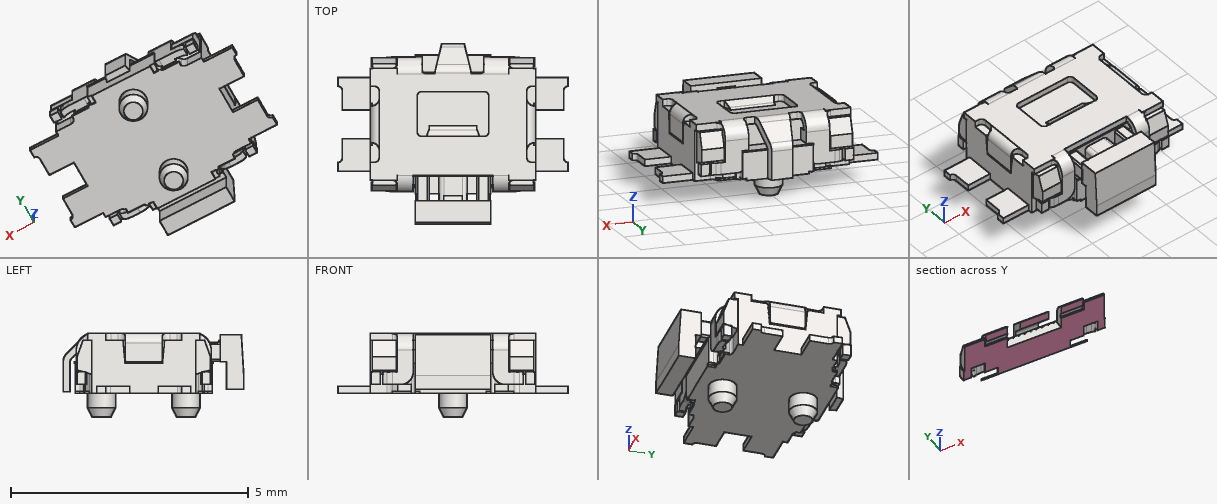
import cadquery as cq
import math

DIAGONAL = math.sqrt(0.5)

HEIGHT = 1.27
SHEET = 0.15
HALF_X = 1.745
CORE_HALF_Y = 1.095
DECK_Z = HEIGHT - SHEET

PEG_RADIUS = 0.30
PEG_TIP_RADIUS = 0.20
PEG_LENGTH = 0.50
PEG_TAPER = 0.20
PEG_Y = 0.89

TERMINAL_END_X = 2.425
TERMINAL_NECK_X = 2.335
TERMINAL_INNER_Y = 0.30
TERMINAL_OUTER_Y = 0.99
TERMINAL_STEP_Y = 0.80
TERMINAL_ROOT_X = 1.60

EAR_HALF_Y = 1.177
COVER_CORNER = 0.10

LEG_BEND_Y = 1.07
LEG_BEND_RADIUS = 0.35
LEG_FACE_Y = LEG_BEND_Y + LEG_BEND_RADIUS
LEG_BACK_Y = LEG_FACE_Y - SHEET
LEG_OUTER_X = 1.18
FRONT_LEG_INNER_X = 0.84
BACK_LEG_INNER_X = 0.65
LEG_FOOT_Z = 0.19
LEG_FOOT_RADIUS = 0.25
HOOK_TOP_Z = 0.45
HOOK_START_X = 1.285
HOOK_KNEE_X = 1.395
HOOK_KNEE_SETBACK = 0.01
HOOK_END_X = 1.48
HOOK_SETBACK = 0.04
LEG_ROOT_RADIUS = 0.10
BACK_OPENING_RADIUS = 0.08

TAB_HALF_Y = 0.39
TAB_BOTTOM_Z = 0.66
TAB_BEND_RADIUS = 0.20
TAB_NOTCH_DEPTH = 0.19
TAB_NOTCH_HALF_Y = 0.80
TAB_ROOT_FLARE = 0.16
TAB_CORNER = 0.04
TAB_POCKET_HALF_Y = 0.395
TAB_POCKET_TOP_HALF_Y = 0.44
TAB_POCKET_BOTTOM_Z = 0.635

WINDOW_HALF_X = 0.755
WINDOW_FRONT_Y = -0.255
WINDOW_BACK_Y = 0.69
WINDOW_CORNER = 0.10
RAMP_KNEE_Y = -0.11
RAMP_END_Y = -0.025
RAMP_KNEE_Z = 1.16
RAMP_BASE_HALF_X = 0.56
RAMP_TIP_HALF_X = 0.505

TONGUE_FACE_Y = 1.70
TONGUE_BOTTOM_Z = 0.03
TONGUE_ROOT_HALF_X = 0.385
TONGUE_TIP_HALF_X = 0.24
TONGUE_ROOT_Y = 1.09
TONGUE_UPPER_RADIUS = 0.255
TONGUE_LOWER_RADIUS = 0.24

BLOCK_INNER_X = 1.20
BLOCK_OUTER_X = 1.70
BLOCK_TOP_Y = 1.28
BLOCK_FACE_Y = 1.405
BLOCK_SLOPE_Z = 0.77
BLOCK_BOTTOM_Z = 0.49
BLOCK_ROOT_Z = 0.40
STUD_INNER_X = 1.53
STUD_OUTER_X = 1.72
STUD_BACK_Y = 1.225

PLINTH_FLAT_X = 1.16
PLINTH_FACE_Y = 1.23
PLINTH_SIDE_X = 1.285
PLINTH_ROOT_X = 1.40
PLINTH_ROOT_Y = 1.145
FOOT_Y = 1.24
FOOT_HEIGHT = 0.045
WALL_HALF_X = 0.80
WALL_FOOT_HALF_X = 0.70
WALL_Y = 1.445
WALL_ROOT_RADIUS = 0.08
WALL_HEIGHT = 0.635
RIM_HEIGHT = 0.025
RIM_Y = 1.465

BUTTON_HALF_X = 0.80
BUTTON_BACK_Y = -1.61
BUTTON_SKIRT_Y = -1.74
BUTTON_TOP_FRONT_Y = -2.06
BUTTON_FRONT_Y = -2.11
BUTTON_TOP_Z = 1.235
BUTTON_STEP_Z = 0.665
BUTTON_SLOPE_END_Z = 0.376
BUTTON_BOTTOM_Z = 0.085
ARM_INNER_X = 0.50
ARM_OUTER_X = 0.78
ARM_TOP_Z = 1.076
ARM_BOTTOM_Z = 0.675
ARM_CHAMFER = 0.04
STEM_HALF_X = 0.30
STEM_ROUND = 0.10
STEM_TOP_Z = 1.03
STEM_GUSSET = 0.10
BUTTON_ROOT_Y = -1.0


def block(x0, x1, y0, y1, z0, z1):
    """Box between opposite corners."""
    return cq.Workplane("XY").box(x1 - x0, y1 - y0, z1 - z0, centered=False).translate((x0, y0, z0))


def prism_along_x(yz_points, x0, x1):
    """Extrude a YZ polygon from x0 to x1."""
    return cq.Workplane("YZ").workplane(offset=x0).polyline(yz_points).close().extrude(x1 - x0)


def prism_along_z(xy_points, z0, z1):
    """Extrude an XY polygon from z0 to z1."""
    return cq.Workplane("XY").workplane(offset=z0).polyline(xy_points).close().extrude(z1 - z0)


def mirrored_x(shape):
    """The shape together with its mirror image across X = 0."""
    return shape.union(shape.mirror("YZ"))


def mirrored_y(shape):
    """The shape together with its mirror image across Y = 0."""
    return shape.union(shape.mirror("XZ"))


def bent_strip(flat_end, bend_start, radius, bottom):
    """Workplane outline of a sheet that runs out flat, then bends down to `bottom`."""
    inner = radius - SHEET
    axis_z = HEIGHT - radius
    return (
        cq.Workplane("YZ")
        .moveTo(flat_end, HEIGHT)
        .lineTo(bend_start, HEIGHT)
        .threePointArc(
            (bend_start + radius * DIAGONAL, axis_z + radius * DIAGONAL), (bend_start + radius, axis_z)
        )
        .lineTo(bend_start + radius, bottom)
        .lineTo(bend_start + inner, bottom)
        .lineTo(bend_start + inner, axis_z)
        .threePointArc((bend_start + inner * DIAGONAL, axis_z + inner * DIAGONAL), (bend_start, DECK_Z))
        .lineTo(flat_end, DECK_Z)
        .close()
    )


def tab_pocket():
    """Tapered recess in the +X housing wall that receives the side tab."""
    outline = [
        (-TAB_POCKET_TOP_HALF_Y, DECK_Z),
        (TAB_POCKET_TOP_HALF_Y, DECK_Z),
        (TAB_POCKET_HALF_Y, TAB_POCKET_BOTTOM_Z),
        (-TAB_POCKET_HALF_Y, TAB_POCKET_BOTTOM_Z),
    ]
    return prism_along_x(outline, HALF_X - SHEET, HALF_X)


def corner_block():
    """Sloped block at the +X +Y corner with the stud below it."""
    profile = [
        (0, DECK_Z),
        (BLOCK_TOP_Y, DECK_Z),
        (BLOCK_FACE_Y, BLOCK_SLOPE_Z),
        (BLOCK_FACE_Y, BLOCK_BOTTOM_Z),
        (CORE_HALF_Y, BLOCK_ROOT_Z),
        (0, BLOCK_ROOT_Z),
    ]
    stud = block(STUD_INNER_X, STUD_OUTER_X, STUD_BACK_Y, BLOCK_FACE_Y, LEG_FOOT_Z, HOOK_TOP_Z)
    return prism_along_x(profile, BLOCK_INNER_X, BLOCK_OUTER_X).union(stud)


def root_fillet(corner_x, corner_y, radius, side, z0, z1):
    """Concave fillet in a plan corner, opening towards +Y and towards `side` along X."""
    chord = radius * (1 - DIAGONAL)
    return (
        cq.Workplane("XY")
        .workplane(offset=z0)
        .moveTo(corner_x, corner_y)
        .lineTo(corner_x + side * radius, corner_y)
        .threePointArc((corner_x + side * chord, corner_y + chord), (corner_x, corner_y + radius))
        .close()
        .extrude(z1 - z0)
    )


def plinth():
    """Lower half of the housing at +Y, its slanted ends sweeping into the core, and a thin foot."""
    sweep_width = PLINTH_ROOT_X - PLINTH_SIDE_X
    sweep_depth = PLINTH_ROOT_Y - CORE_HALF_Y
    sweep_radius = (sweep_width**2 + sweep_depth**2) / (2 * sweep_depth)
    half_angle = math.atan(sweep_depth / sweep_width)
    sweep_middle = (
        PLINTH_ROOT_X - sweep_radius * math.sin(half_angle),
        CORE_HALF_Y + sweep_radius * (1 - math.cos(half_angle)),
    )
    right_half = (
        cq.Workplane("XY")
        .lineTo(PLINTH_ROOT_X, 0)
        .lineTo(PLINTH_ROOT_X, CORE_HALF_Y)
        .threePointArc(sweep_middle, (PLINTH_SIDE_X, PLINTH_ROOT_Y))
        .lineTo(PLINTH_FLAT_X, PLINTH_FACE_Y)
        .lineTo(0, PLINTH_FACE_Y)
        .close()
        .extrude(HOOK_TOP_Z)
    )
    foot = block(0, PLINTH_SIDE_X, 0, FOOT_Y, 0, FOOT_HEIGHT)
    return mirrored_x(right_half.union(foot))


def low_wall():
    """Low wall at +Y with a narrower foot, a thin rim on top and concave fillets at its ends."""
    rim_top_z = WALL_HEIGHT + RIM_HEIGHT
    wall = block(-WALL_HALF_X, WALL_HALF_X, 0, WALL_Y, FOOT_HEIGHT, WALL_HEIGHT)
    foot = block(-WALL_FOOT_HALF_X, WALL_FOOT_HALF_X, 0, WALL_Y, 0, FOOT_HEIGHT)
    rim = block(-WALL_HALF_X, WALL_HALF_X, 0, RIM_Y, WALL_HEIGHT, rim_top_z)
    fillet = root_fillet(WALL_HALF_X, LEG_BACK_Y, WALL_ROOT_RADIUS, 1, 0, WALL_HEIGHT)
    flank = block(0, WALL_HALF_X + WALL_ROOT_RADIUS, 0, LEG_BACK_Y, 0, WALL_HEIGHT)
    return wall.union(foot).union(rim).union(mirrored_x(fillet.union(flank)))


def housing():
    body = block(-HALF_X, HALF_X, -CORE_HALF_Y, CORE_HALF_Y, 0, DECK_Z)
    body = body.cut(mirrored_x(tab_pocket()))
    body = body.union(mirrored_y(mirrored_x(corner_block())))
    shoulder = block(BACK_LEG_INNER_X, BLOCK_INNER_X, 0, LEG_BACK_Y, LEG_FOOT_Z, HEIGHT - LEG_BEND_RADIUS)
    body = body.union(mirrored_y(mirrored_x(shoulder)))
    body = body.union(mirrored_y(plinth()))
    opening = block(-WALL_HALF_X, WALL_HALF_X, -LEG_FACE_Y, -CORE_HALF_Y, WALL_HEIGHT, HEIGHT)
    return body.cut(opening).union(mirrored_y(low_wall()))


def pegs():
    profile = [
        (0, 0),
        (PEG_RADIUS, 0),
        (PEG_RADIUS, PEG_TAPER - PEG_LENGTH),
        (PEG_TIP_RADIUS, -PEG_LENGTH),
        (0, -PEG_LENGTH),
    ]
    peg = cq.Workplane("XZ").polyline(profile).close().revolve(360, (0, 0, 0), (0, 1, 0))
    return mirrored_y(peg.translate((0, PEG_Y, 0)))


def terminals():
    """Four flat terminals, each with a lug on its outer corner."""
    step_radius = TERMINAL_END_X - TERMINAL_NECK_X
    chord = step_radius * (1 - DIAGONAL)
    terminal = (
        cq.Workplane("XY")
        .moveTo(TERMINAL_ROOT_X, TERMINAL_INNER_Y)
        .lineTo(TERMINAL_NECK_X, TERMINAL_INNER_Y)
        .lineTo(TERMINAL_NECK_X, TERMINAL_STEP_Y - step_radius)
        .threePointArc(
            (TERMINAL_NECK_X + chord, TERMINAL_STEP_Y - chord), (TERMINAL_END_X, TERMINAL_STEP_Y)
        )
        .lineTo(TERMINAL_END_X, TERMINAL_OUTER_Y)
        .lineTo(TERMINAL_ROOT_X, TERMINAL_OUTER_Y)
        .close()
        .extrude(SHEET)
    )
    return mirrored_y(mirrored_x(terminal))


def window_ramp():
    """Ramp falling from the front edge of the window to the housing top."""
    profile = [
        (WINDOW_FRONT_Y, HEIGHT),
        (RAMP_KNEE_Y, RAMP_KNEE_Z),
        (RAMP_END_Y, DECK_Z),
        (WINDOW_FRONT_Y, DECK_Z),
    ]
    outline = [
        (-RAMP_BASE_HALF_X, WINDOW_FRONT_Y),
        (RAMP_BASE_HALF_X, WINDOW_FRONT_Y),
        (RAMP_TIP_HALF_X, RAMP_KNEE_Y),
        (RAMP_TIP_HALF_X, RAMP_END_Y),
        (-RAMP_TIP_HALF_X, RAMP_END_Y),
        (-RAMP_TIP_HALF_X, RAMP_KNEE_Y),
    ]
    ramp = prism_along_x(profile, -RAMP_BASE_HALF_X, RAMP_BASE_HALF_X)
    return ramp.intersect(prism_along_z(outline, DECK_Z, HEIGHT))


def cover_plate():
    plate = block(-HALF_X, HALF_X, -LEG_BEND_Y, LEG_BEND_Y, DECK_Z, HEIGHT)
    ear = block(LEG_OUTER_X, HALF_X, 0, EAR_HALF_Y, DECK_Z, HEIGHT)
    plate = plate.union(mirrored_y(mirrored_x(ear)))
    notch = block(
        HALF_X - TAB_NOTCH_DEPTH, HALF_X, -TAB_NOTCH_HALF_Y, TAB_NOTCH_HALF_Y, DECK_Z, HEIGHT
    )
    notch = notch.edges("|Z and <X").fillet(COVER_CORNER)
    plate = plate.cut(mirrored_x(notch))
    window = block(
        -WINDOW_HALF_X, WINDOW_HALF_X, WINDOW_FRONT_Y, WINDOW_BACK_Y, DECK_Z, HEIGHT
    )
    window = window.edges("|Z").fillet(WINDOW_CORNER)
    return plate.cut(window).union(window_ramp())


def leg(inner_x):
    """Leg at +X +Y: bent strip with a rounded foot and a hook reaching outwards."""
    strip = bent_strip(LEG_BEND_Y - SHEET, LEG_BEND_Y, LEG_BEND_RADIUS, LEG_FOOT_Z)
    strip = strip.extrude(LEG_OUTER_X - inner_x).translate((inner_x, 0, 0))
    strip = strip.edges("|Y and <X and <Z").fillet(LEG_FOOT_RADIUS)
    hook_outline = [
        (LEG_OUTER_X, LEG_FACE_Y),
        (HOOK_START_X, LEG_FACE_Y),
        (HOOK_KNEE_X, LEG_FACE_Y - HOOK_KNEE_SETBACK),
        (HOOK_END_X, LEG_FACE_Y - HOOK_SETBACK),
        (HOOK_END_X, LEG_BACK_Y - HOOK_SETBACK),
        (HOOK_KNEE_X, LEG_BACK_Y - HOOK_KNEE_SETBACK),
        (HOOK_START_X, LEG_BACK_Y),
        (LEG_OUTER_X, LEG_BACK_Y),
    ]
    return strip.union(prism_along_z(hook_outline, LEG_FOOT_Z, HOOK_TOP_Z))


def leg_fillets():
    """Plan fillets where the legs at +X leave the plate, following the bend of the legs."""
    ear_fillet = root_fillet(LEG_OUTER_X, EAR_HALF_Y, LEG_ROOT_RADIUS, 1, DECK_Z, HEIGHT)
    opening_fillet = root_fillet(BACK_LEG_INNER_X, LEG_BEND_Y, BACK_OPENING_RADIUS, -1, DECK_Z, HEIGHT)
    envelope = bent_strip(0, LEG_BEND_Y, LEG_BEND_RADIUS, LEG_FOOT_Z).extrude(HALF_X)
    return mirrored_y(ear_fillet).union(opening_fillet).intersect(mirrored_y(envelope))


def side_tab():
    """Tab at +X, bent down into its pocket and flared where it leaves the plate."""
    bend_start = HALF_X - TAB_BEND_RADIUS
    notch_x = HALF_X - TAB_NOTCH_DEPTH
    flare_half_y = TAB_HALF_Y + TAB_ROOT_FLARE
    strip = bent_strip(notch_x - SHEET, bend_start, TAB_BEND_RADIUS, TAB_BOTTOM_Z)
    strip = strip.extrude(flare_half_y, both=True).rotate((0, 0, 0), (0, 0, 1), -90)
    chord = TAB_ROOT_FLARE * (1 - DIAGONAL)
    outline = (
        cq.Workplane("XY")
        .moveTo(notch_x - SHEET, -flare_half_y)
        .lineTo(notch_x, -flare_half_y)
        .threePointArc(
            (notch_x + chord, -TAB_HALF_Y - chord), (notch_x + TAB_ROOT_FLARE, -TAB_HALF_Y)
        )
        .lineTo(HALF_X, -TAB_HALF_Y)
        .lineTo(HALF_X, TAB_HALF_Y)
        .lineTo(notch_x + TAB_ROOT_FLARE, TAB_HALF_Y)
        .threePointArc((notch_x + chord, TAB_HALF_Y + chord), (notch_x, flare_half_y))
        .lineTo(notch_x - SHEET, flare_half_y)
        .close()
        .extrude(HEIGHT)
    )
    tab = strip.intersect(outline)
    return tab.edges("|X and <Z").fillet(TAB_CORNER)


def tongue():
    """Tapered tongue sloping down at 45 degrees behind the back, then hanging vertically."""
    half_bend = (math.sin(math.pi / 8), math.cos(math.pi / 8))
    upper_axis = (TONGUE_ROOT_Y, HEIGHT - TONGUE_UPPER_RADIUS)
    lower_axis_y = TONGUE_FACE_Y - TONGUE_LOWER_RADIUS
    reach = lower_axis_y - upper_axis[0]
    radius_change = TONGUE_LOWER_RADIUS - TONGUE_UPPER_RADIUS
    lower_axis = (lower_axis_y, upper_axis[1] - reach - radius_change / DIAGONAL)

    def upper_bend(radius, y_part, z_part):
        return (upper_axis[0] + radius * y_part, upper_axis[1] + radius * z_part)

    def lower_bend(radius, y_part, z_part):
        return (lower_axis[0] + radius * y_part, lower_axis[1] + radius * z_part)

    upper_inner = TONGUE_UPPER_RADIUS - SHEET
    lower_inner = TONGUE_LOWER_RADIUS - SHEET
    root_start_y = TONGUE_ROOT_Y - SHEET
    strip = (
        cq.Workplane("YZ")
        .moveTo(root_start_y, HEIGHT)
        .lineTo(TONGUE_ROOT_Y, HEIGHT)
        .threePointArc(
            upper_bend(TONGUE_UPPER_RADIUS, *half_bend), upper_bend(TONGUE_UPPER_RADIUS, DIAGONAL, DIAGONAL)
        )
        .lineTo(*lower_bend(TONGUE_LOWER_RADIUS, DIAGONAL, DIAGONAL))
        .threePointArc(
            lower_bend(TONGUE_LOWER_RADIUS, half_bend[1], half_bend[0]),
            lower_bend(TONGUE_LOWER_RADIUS, 1, 0),
        )
        .lineTo(TONGUE_FACE_Y, TONGUE_BOTTOM_Z)
        .lineTo(TONGUE_FACE_Y - SHEET, TONGUE_BOTTOM_Z)
        .lineTo(*lower_bend(lower_inner, 1, 0))
        .threePointArc(
            lower_bend(lower_inner, half_bend[1], half_bend[0]), lower_bend(lower_inner, DIAGONAL, DIAGONAL)
        )
        .lineTo(*upper_bend(upper_inner, DIAGONAL, DIAGONAL))
        .threePointArc(upper_bend(upper_inner, *half_bend), upper_bend(upper_inner, 0, 1))
        .lineTo(root_start_y, DECK_Z)
        .close()
        .extrude(TONGUE_ROOT_HALF_X, both=True)
    )
    outline = [
        (-TONGUE_ROOT_HALF_X, root_start_y),
        (TONGUE_ROOT_HALF_X, root_start_y),
        (TONGUE_ROOT_HALF_X, TONGUE_ROOT_Y),
        (TONGUE_TIP_HALF_X, TONGUE_FACE_Y),
        (-TONGUE_TIP_HALF_X, TONGUE_FACE_Y),
        (-TONGUE_ROOT_HALF_X, TONGUE_ROOT_Y),
    ]
    return strip.intersect(prism_along_z(outline, 0, HEIGHT))


def cover():
    """Sheet cover with its legs, side tabs and tongue."""
    front_legs = mirrored_x(leg(FRONT_LEG_INNER_X)).mirror("XZ")
    back_legs = mirrored_x(leg(BACK_LEG_INNER_X))
    sheet = cover_plate().union(front_legs).union(back_legs).union(mirrored_x(leg_fillets()))
    return sheet.union(mirrored_x(side_tab())).union(tongue())


def button():
    """Push button head with two chamfered arms and a rounded middle stem."""
    profile = [
        (BUTTON_BACK_Y, BUTTON_TOP_Z),
        (BUTTON_TOP_FRONT_Y, BUTTON_TOP_Z),
        (BUTTON_FRONT_Y, BUTTON_SLOPE_END_Z),
        (BUTTON_FRONT_Y, BUTTON_BOTTOM_Z),
        (BUTTON_SKIRT_Y, BUTTON_BOTTOM_Z),
        (BUTTON_SKIRT_Y, BUTTON_STEP_Z),
        (BUTTON_BACK_Y, BUTTON_STEP_Z),
    ]
    head = prism_along_x(profile, -BUTTON_HALF_X, BUTTON_HALF_X)
    arm = block(ARM_INNER_X, ARM_OUTER_X, BUTTON_BACK_Y, BUTTON_ROOT_Y, ARM_BOTTOM_Z, ARM_TOP_Z)
    arm = arm.edges("|Y").chamfer(ARM_CHAMFER)
    stem = block(-STEM_HALF_X, STEM_HALF_X, BUTTON_BACK_Y, BUTTON_ROOT_Y, ARM_BOTTOM_Z, STEM_TOP_Z)
    stem = stem.edges("|Y and >Z").fillet(STEM_ROUND)
    gusset_profile = [
        (BUTTON_BACK_Y, STEM_TOP_Z + STEM_GUSSET),
        (BUTTON_BACK_Y + STEM_GUSSET, STEM_TOP_Z),
        (BUTTON_BACK_Y + STEM_GUSSET, ARM_BOTTOM_Z),
        (BUTTON_BACK_Y, ARM_BOTTOM_Z),
    ]
    gusset_half_x = STEM_HALF_X - STEM_ROUND
    gusset = prism_along_x(gusset_profile, -gusset_half_x, gusset_half_x)
    return head.union(mirrored_x(arm)).union(stem).union(gusset)


result = housing().union(cover()).union(pegs()).union(terminals()).union(button())